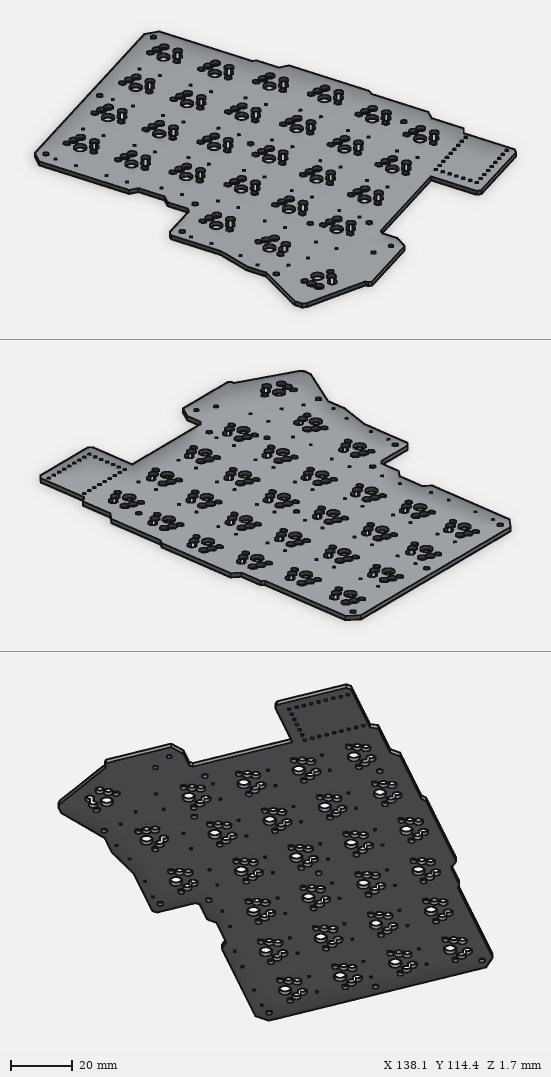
import cadquery as cq
import math

THICKNESS = 1.7
LENGTH_X = 138.1
LENGTH_Y = 114.4

KEY_PITCH = 19.0
ROWS = 4
FIRST_KEY_X = 11.6
TOP_ROW_Y = 98.9
COLUMN_RISE = [0, 0, 2.3, 4.8, 2.3, 0]

THUMB_KEYS = [(71.3, 24.9, 0), (92.5, 22.1, -15), (113.8, 15.7, -120)]

STEM_DIAMETER = 4.1
PIN_DIAMETER = 3.0
CONTACT_STEP = 1.27
INNER_PIN = (2 * CONTACT_STEP, 4 * CONTACT_STEP)
OUTER_PIN = (3 * CONTACT_STEP, 2 * CONTACT_STEP)
SIDE_SLOT_X = 5.0
SIDE_SLOT_LENGTH = 2.3
SIDE_SLOT_WIDTH = 2.0

DIODE_HOLE_DIAMETER = 0.8
DIODE_LEAD_SPACING = 7.6
DIODE_DROP = KEY_PITCH / 2
DIODE_SHIFT = [
    [0, 0.4, -0.3, -0.3],
    [0, 0, -0.3, -0.3],
    [0, 0.3, -0.5, -0.3],
    [0, -0.3, -0.3, 0.3],
    [0, 0, -0.3, 0],
    [0.4, -0.4, -0.4, 1.2],
]
THUMB_DIODES = [(70.9, 15.3, 0), (89.9, 13.0, -15), (104.4, 19.9, -120)]

HEADER_PITCH = 2 * CONTACT_STEP
HEADER_HOLE_DIAMETER = 1.0
HEADER_X = 119.6
HEADER_Y = 86.3
HEADER_COLUMNS = 7
HEADER_ROWS = 9

MOUNT_DIAMETER = 2.0
MOUNT_POINTS = [
    (3.5, 107.0), (3.5, 70.2), (3.5, 33.3), (59.5, 70.2), (59.5, 32.0),
    (97.8, 104.7), (114.5, 50.0), (97.8, 40.5), (63.1, 16.6), (101.4, 10.5),
]
JACK_DIAMETER = 1.5
JACK_POINTS = [(126.9, 42.0), (123.6, 36.0)]

OUTLINE = [
    (0, 32.0), (0, 107.2), (3.6, 110.8),
    (38.1, 110.8), (39.2, 111.7), (47.5, 111.7), (49.9, LENGTH_Y),
    (79.5, LENGTH_Y), (81.2, 113.3), (102.2, 113.3), (104.8, 110.8),
    (116.7, 110.8), (118.1, 108.4), (136.9, 108.4), (LENGTH_X, 107.2),
    (LENGTH_X, 83.3), (137.0, 82.2), (120.0, 82.2), (120.0, 47.8), (121.0, 46.8),
    (126.6, 46.8), (130.9, 44.0), (130.9, 21.5), (130.0, 20.7), (129.0, 20.7),
    (117.8, 0.8), (116.7, 0), (113.8, 0), (98.0, 9.5),
    (91.0, 9.5), (79.4, 13.0), (60.9, 13.0), (59.7, 14.2),
    (59.7, 27.5), (58.7, 28.6), (51.2, 28.6), (48.8, 31.0),
    (39.1, 31.0), (36.9, 28.6), (3.5, 28.6),
]


def place(points, x, y, rotation):
    """Turn points about the origin and then move them to (x, y)."""
    cosine = math.cos(math.radians(rotation))
    sine = math.sin(math.radians(rotation))
    return [(x + u * cosine - v * sine, y + u * sine + v * cosine) for u, v in points]


def round_cutters(points, diameter):
    """Cylinders through the full thickness at the given points."""
    return cq.Workplane("XY").pushPoints(points).circle(diameter / 2).extrude(THICKNESS)


def both_sides(points):
    """Points together with their mirror images about the Y axis."""
    return points + [(-x, y) for x, y in points]


def switch_footprint():
    """All openings of one key switch, merged into a single cutter."""
    pins = both_sides([INNER_PIN, OUTER_PIN])
    side_slots = (
        cq.Workplane("XY")
        .pushPoints(both_sides([(SIDE_SLOT_X, 0)]))
        .slot2D(SIDE_SLOT_LENGTH, SIDE_SLOT_WIDTH)
        .extrude(THICKNESS)
    )
    footprint = round_cutters([(0, 0)], STEM_DIAMETER)
    return footprint.union(round_cutters(pins, PIN_DIAMETER)).union(side_slots).val()


def key_cutters(keys):
    """Switch footprints turned and moved to every key."""
    footprint = switch_footprint()
    origin = cq.Vector(0, 0, 0)
    up = cq.Vector(0, 0, 1)
    placed = [
        footprint.rotate(origin, up, rotation).translate(cq.Vector(x, y, 0))
        for x, y, rotation in keys
    ]
    return cq.Workplane(cq.Compound.makeCompound(placed))


def diode_points(diodes):
    """Centres of the two lead holes of every diode."""
    leads = both_sides([(DIODE_LEAD_SPACING / 2, 0)])
    return [point for diode in diodes for point in place(leads, *diode)]


def header_points():
    """Centres of the controller header holes, a U of two columns and the bottom row."""
    return [
        (HEADER_X + i * HEADER_PITCH, HEADER_Y + j * HEADER_PITCH)
        for i in range(HEADER_COLUMNS)
        for j in range(HEADER_ROWS)
        if j == 0 or i in (0, HEADER_COLUMNS - 1)
    ]


keys = list(THUMB_KEYS)
diodes = list(THUMB_DIODES)
for column, rise in enumerate(COLUMN_RISE):
    for row in range(ROWS):
        key_x = FIRST_KEY_X + column * KEY_PITCH
        key_y = TOP_ROW_Y + rise - row * KEY_PITCH
        keys.append((key_x, key_y, 0))
        diodes.append((key_x + DIODE_SHIFT[column][row], key_y - DIODE_DROP, 0))

plate = cq.Workplane("XY").polyline(OUTLINE).close().extrude(THICKNESS)
plate = plate.cut(key_cutters(keys))
plate = plate.cut(round_cutters(diode_points(diodes), DIODE_HOLE_DIAMETER))
plate = plate.cut(round_cutters(header_points(), HEADER_HOLE_DIAMETER))
plate = plate.cut(round_cutters(MOUNT_POINTS, MOUNT_DIAMETER))
plate = plate.cut(round_cutters(JACK_POINTS, JACK_DIAMETER))

result = plate